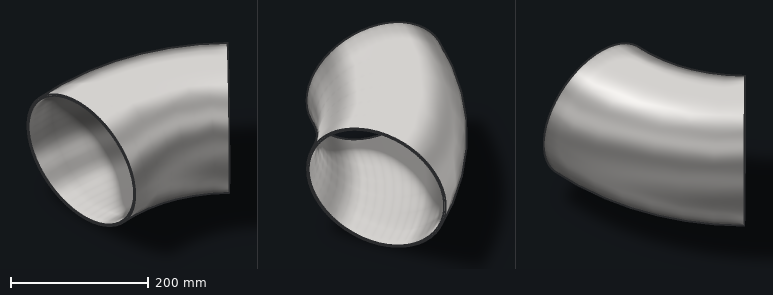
import cadquery as cq
import math

overall_length = 293.0
outer_diameter = 219.0
wall_thickness = 3.0
bend_angle = 45.0

outer_radius = outer_diameter / 2
inner_radius = outer_radius - wall_thickness
outside_bend_radius = overall_length / math.sin(math.radians(bend_angle))
bend_radius = outside_bend_radius - outer_radius

pipe_section = cq.Workplane("XZ").circle(outer_radius).circle(inner_radius)

bend_axis_start = (bend_radius, 0)
bend_axis_end = (bend_radius, -1)

result = pipe_section.revolve(bend_angle, bend_axis_start, bend_axis_end)